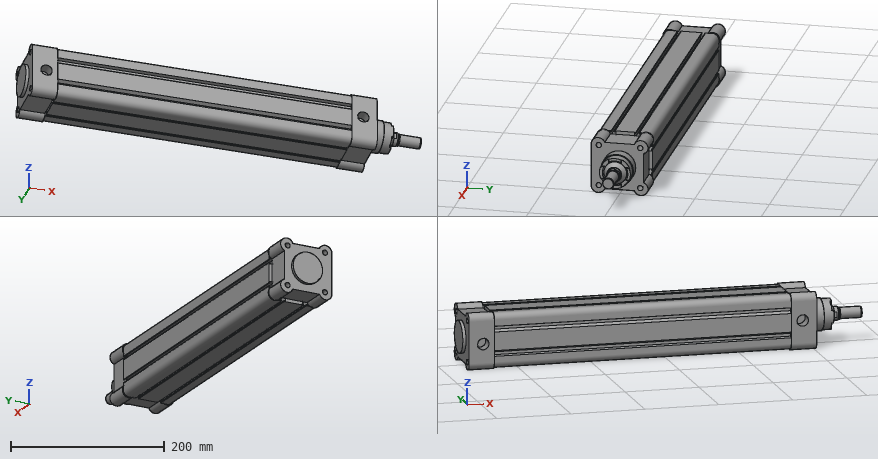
import cadquery as cq


total_length = 544.0
cap_width = 76.0
cap_length = 34.0
tube_length = 401.5

rear_boss_length = 4.5
tube_start = rear_boss_length + cap_length
tube_end = tube_start + tube_length
front_face = tube_end + cap_length

side_recess = 6.0
boss_radius = 22.0
bolt_hole_diameter = 7.0
bolt_offset = 28.0
bolt_hole_depth = 16.5
port_diameter = 15.0
port_depth = 16.5
port_from_outer_face = 19.0
port_offset = 2.45

front_boss_length = 14.5
guide_radius = 20.5
guide_length = 13.0
lug_width = 17.0
lug_height = 2.0
lug_inner_radius = 17.0
wiper_base_radius = 15.0
wiper_tip_radius = 10.0
wiper_length = 6.0

tube_width = 73.5
tube_corner_radius = 8.0
slot_mouth_inner = 14.0
slot_mouth_outer = 18.5
slot_undercut = 1.5
slot_lip = 1.5
slot_depth = 8.0
port_slot_mouth_inner = 12.5
port_slot_mouth_outer = 20.0
port_slot_floor_inner = 15.0
port_slot_floor_outer = 19.0
port_slot_depth = 5.0

rod_radius = 9.0
flats_width = 17.0
flats_length = 3.0
collar_length = 2.0
collar_chamfer = 1.5
neck_radius = 8.0
neck_length = 1.5
thread_radius = 7.5
thread_chamfer_length = 1.5
thread_chamfer_drop = 0.5

half_cap = cap_width / 2
half_tube = tube_width / 2
corner_center = half_tube - tube_corner_radius
lobe_radius = half_cap - corner_center
front_boss_end = front_face + front_boss_length
guide_end = front_boss_end + guide_length
wiper_start = guide_end - lug_height
wiper_end = wiper_start + wiper_length


def section(x):
    """Workplane across the axis at the given X; its local axes are Y and Z."""
    return cq.Workplane("YZ", origin=(x, 0, 0))


def cylinder(x, radius, length):
    """Cylinder on the part's axis, starting at the given X."""
    return section(x).circle(radius).extrude(length)


def corners(offset):
    """Four points at equal Y and Z distances from the axis."""
    return [(y, z) for y in (-offset, offset) for z in (-offset, offset)]


def cap_block(x):
    """Cap with a round lobe at each corner, recessed between lobes except on the flat -Y side."""
    waist = half_cap - side_recess
    block = section(x).rect(2 * corner_center, 2 * waist).extrude(cap_length)
    side = section(x).center((waist - half_cap) / 2, 0).rect(half_cap + waist, 2 * corner_center)
    lobes = section(x).pushPoints(corners(corner_center)).circle(lobe_radius).extrude(cap_length)
    return block.union(side.extrude(cap_length)).union(lobes)


def bolt_holes(x, depth):
    return section(x).pushPoints(corners(bolt_offset)).circle(bolt_hole_diameter / 2).extrude(depth)


def port(x, z):
    """Blind air port entering from the flat -Y side of a cap."""
    return (
        cq.Workplane("XZ", origin=(x, -half_cap, z))
        .circle(port_diameter / 2)
        .extrude(-port_depth)
    )


def make_rear_cap():
    cap = cap_block(rear_boss_length).union(cylinder(0, boss_radius, rear_boss_length))
    cap = cap.cut(bolt_holes(rear_boss_length, bolt_hole_depth))
    return cap.cut(port(rear_boss_length + port_from_outer_face, -port_offset))


def slot_pair(outline):
    """Two slots in the +Z side of the tube: the given outline and its mirror image."""
    slot = section(tube_start).polyline(outline).close().extrude(tube_length)
    return slot.union(slot.mirror("XZ"))


def sensor_slots():
    """T-shaped slots, wider below a thin lip."""
    floor = half_tube - slot_depth
    lip_bottom = half_tube - slot_lip
    inner_wall = slot_mouth_inner - slot_undercut
    outer_wall = slot_mouth_outer + slot_undercut
    return slot_pair([
        (slot_mouth_inner, half_tube), (slot_mouth_outer, half_tube),
        (slot_mouth_outer, lip_bottom), (outer_wall, lip_bottom),
        (outer_wall, floor), (inner_wall, floor),
        (inner_wall, lip_bottom), (slot_mouth_inner, lip_bottom),
    ])


def port_side_slots():
    """Slots with sloping walls, narrower at the floor."""
    floor = half_tube - port_slot_depth
    return slot_pair([
        (port_slot_mouth_inner, half_tube), (port_slot_mouth_outer, half_tube),
        (port_slot_floor_outer, floor), (port_slot_floor_inner, floor),
    ])


def make_tube():
    tube = section(tube_start).rect(tube_width, tube_width).extrude(tube_length)
    tube = tube.edges("|X").fillet(tube_corner_radius)
    for angle in (0, -90, 180):
        tube = tube.cut(sensor_slots().rotate((0, 0, 0), (1, 0, 0), angle))
    return tube.cut(port_side_slots().rotate((0, 0, 0), (1, 0, 0), 90))


def make_guide():
    """Rod guide with four end lugs around a conical wiper."""
    guide = cylinder(front_boss_end, guide_radius, guide_length)
    lug_gap = cylinder(wiper_start, guide_radius, lug_height)
    for size in ((lug_width, 2 * guide_radius), (2 * guide_radius, lug_width)):
        lug_gap = lug_gap.cut(section(wiper_start).rect(*size).extrude(lug_height))
    lug_gap = lug_gap.union(cylinder(wiper_start, lug_inner_radius, lug_height))
    guide = guide.cut(lug_gap)
    wiper = section(wiper_start).circle(wiper_base_radius)
    wiper = wiper.workplane(offset=wiper_length).circle(wiper_tip_radius).loft()
    return guide.union(wiper)


def make_front_cap():
    cap = cap_block(tube_end).union(cylinder(front_face, boss_radius, front_boss_length))
    cap = cap.union(make_guide())
    cap = cap.cut(bolt_holes(front_face, -bolt_hole_depth))
    cap = cap.cut(port(front_face - port_from_outer_face, port_offset))
    return cap.cut(cylinder(tube_end, rod_radius, wiper_end - tube_end))


def make_rod():
    """Rod from the tube's end face through the front cap, with two wrench flats and a thread end."""
    collar_end = wiper_end + flats_length + collar_length
    neck_start = collar_end + collar_chamfer
    neck_end = neck_start + neck_length
    half_flats = flats_width / 2
    profile = [
        (tube_end, 0), (tube_end, rod_radius), (collar_end, rod_radius),
        (neck_start, neck_radius), (neck_end, neck_radius), (neck_end, thread_radius),
        (total_length - thread_chamfer_length, thread_radius),
        (total_length, thread_radius - thread_chamfer_drop), (total_length, 0),
    ]
    rod = cq.Workplane("XY").polyline(profile).close().revolve(360, (0, 0, 0), (1, 0, 0))
    for side in (-1, 1):
        flat = section(wiper_end).center(side * (half_flats + rod_radius / 2), 0)
        rod = rod.cut(flat.rect(rod_radius, 2 * rod_radius).extrude(flats_length))
    return rod


rear_cap = make_rear_cap()
tube = make_tube()
front_cap = make_front_cap()
rod = make_rod()

result = cq.Compound.makeCompound([rear_cap.val(), tube.val(), front_cap.val(), rod.val()])